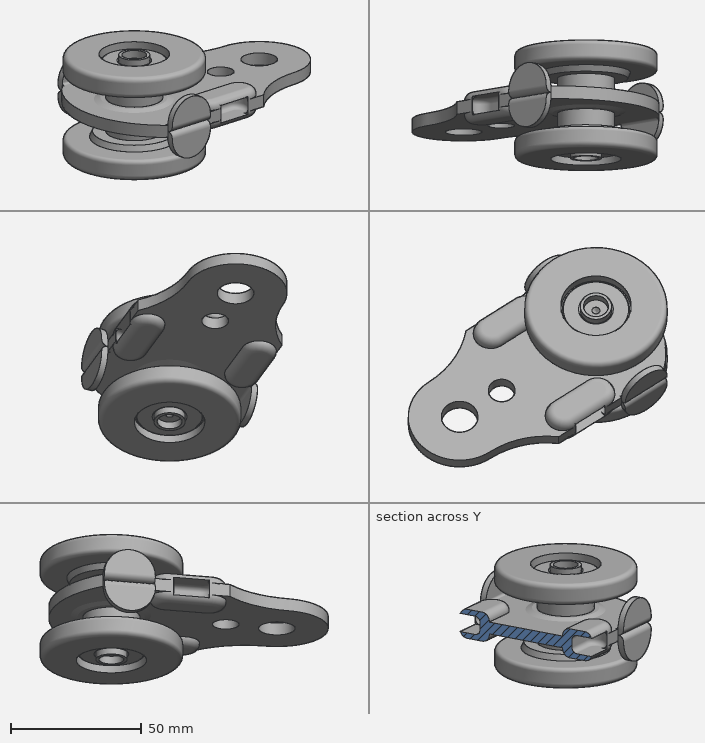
import cadquery as cq
import math


SHEET = 2.5
PLATE_HALF_WIDTH = 30.0
LUG_RADIUS = 19.8
LUG_Y = 65.1
SHOULDER_Y = 40.0
SIDE_END_Y = -10.0
PLATE_END_Y = -23.7
LARGE_HOLE_DIAMETER = 14.0
SMALL_HOLE_DIAMETER = 10.2
SMALL_HOLE_Y = 45.0

EAR_OUTER_X = 65.0 / 2
EAR_RADIUS = -SIDE_END_Y
EAR_INNER_FILLET = 1.0

RIB_WIDTH = 13.5
RIB_STRAIGHT = 16.5
RIB_Y = 24.8
RIB_HALF_HEIGHT = 6.0
RIB_FILLET = 3.4
RIB_X = PLATE_HALF_WIDTH - RIB_WIDTH / 2
WINDOW_LENGTH = 14.0
WINDOW_HEIGHT = 7.2
CAVITY_RADIUS = 4.5
CAVITY_STRAIGHT = 11.6
CAVITY_FILLET = 2.0

BOSS_BASE_RADIUS = 15.4
BOSS_TOP_RADIUS = 12.9
BOSS_HEIGHT = 0.8
SPACER_DIAMETER = 22.0
AXLE_DIAMETER = 12.0
AXLE_END_Z = 20.7
AXLE_RECESS_DIAMETER = 9.5
AXLE_RECESS_DEPTH = 3.1
CENTRE_MARK_DIAMETER = 3.0

WHEEL_RADIUS = 27.4
WHEEL_OUTER_Z = 42.0 / 2
WHEEL_INNER_Z = 12.8
WHEEL_OUTER_FILLET = 2.0
WHEEL_INNER_FILLET = 1.7
COLLAR_BASE_RADIUS = 17.2
COLLAR_END_RADIUS = 16.0
COLLAR_END_Z = 10.4
WHEEL_RECESS_DIAMETER = 27.0
WHEEL_RECESS_FLOOR_DIAMETER = 25.0
WHEEL_RECESS_DEPTH = 2.6
GROOVE_WIDTH = 0.6
GROOVE_DEPTH = 1.0
BORE_CHAMFER = 0.7

QUARTER = math.sqrt(0.5)


def mirrored_z(shape):
    return shape.mirror("XY")


def mirrored_x(shape):
    return shape.mirror("YZ")


def plate():
    """Flat plate with a round lug, concave flanks and a shallow curved lower end."""
    rise = LUG_Y - SHOULDER_Y
    run = PLATE_HALF_WIDTH - LUG_RADIUS
    flank_radius = (run**2 + rise**2) / (2 * run)
    half_angle = math.asin(rise / flank_radius) / 2
    flank_x = LUG_RADIUS + flank_radius * (1 - math.cos(half_angle))
    flank_y = LUG_Y - flank_radius * math.sin(half_angle)
    outline = (
        cq.Workplane("XY")
        .workplane(offset=-SHEET)
        .moveTo(PLATE_HALF_WIDTH, SIDE_END_Y)
        .lineTo(PLATE_HALF_WIDTH, SHOULDER_Y)
        .threePointArc((flank_x, flank_y), (LUG_RADIUS, LUG_Y))
        .threePointArc((0, LUG_Y + LUG_RADIUS), (-LUG_RADIUS, LUG_Y))
        .threePointArc((-flank_x, flank_y), (-PLATE_HALF_WIDTH, SHOULDER_Y))
        .lineTo(-PLATE_HALF_WIDTH, SIDE_END_Y)
        .threePointArc((0, PLATE_END_Y), (PLATE_HALF_WIDTH, SIDE_END_Y))
        .close()
    )
    return outline.extrude(2 * SHEET)


def suspension_hole(diameter, y):
    return cq.Workplane("XY").center(0, y).cylinder(2 * SHEET, diameter / 2)


def ear():
    """Upright ear on the +X side: rounded outline, V-shaped groove of two convex bends."""
    blank = (
        cq.Workplane("YZ")
        .workplane(offset=PLATE_HALF_WIDTH)
        .moveTo(-EAR_RADIUS, -SHEET)
        .lineTo(-EAR_RADIUS, SHEET)
        .threePointArc((0, SHEET + EAR_RADIUS), (EAR_RADIUS, SHEET))
        .lineTo(EAR_RADIUS, -SHEET)
        .threePointArc((0, -SHEET - EAR_RADIUS), (-EAR_RADIUS, -SHEET))
        .close()
        .extrude(EAR_OUTER_X - PLATE_HALF_WIDTH)
    )
    bend_radius = EAR_OUTER_X - PLATE_HALF_WIDTH
    bend_mid_x = PLATE_HALF_WIDTH + bend_radius * QUARTER
    bend_mid_z = bend_radius * (1 - QUARTER)
    groove = (
        cq.Workplane("XZ")
        .moveTo(PLATE_HALF_WIDTH, 0)
        .threePointArc((bend_mid_x, bend_mid_z), (EAR_OUTER_X, bend_radius))
        .lineTo(EAR_OUTER_X, -bend_radius)
        .threePointArc((bend_mid_x, -bend_mid_z), (PLATE_HALF_WIDTH, 0))
        .close()
        .extrude(EAR_RADIUS, both=True)
    )
    return blank.cut(groove)


def ear_inner_fillet():
    """Concave fillet between the plate's upper face and the ear on the +X side."""
    reach = EAR_INNER_FILLET * (1 - QUARTER)
    return (
        cq.Workplane("XZ")
        .moveTo(PLATE_HALF_WIDTH, SHEET)
        .lineTo(PLATE_HALF_WIDTH, SHEET + EAR_INNER_FILLET)
        .threePointArc(
            (PLATE_HALF_WIDTH - reach, SHEET + reach),
            (PLATE_HALF_WIDTH - EAR_INNER_FILLET, SHEET),
        )
        .close()
        .extrude(EAR_RADIUS, both=True)
    )


def rib():
    """Rounded rib on the +X side, standing proud of both plate faces."""
    return (
        cq.Workplane("XY")
        .workplane(offset=-RIB_HALF_HEIGHT)
        .center(RIB_X, RIB_Y)
        .slot2D(RIB_STRAIGHT + RIB_WIDTH, RIB_WIDTH, 90)
        .extrude(2 * RIB_HALF_HEIGHT)
        .faces("|Z")
        .edges()
        .fillet(RIB_FILLET)
    )


def rib_cavity():
    """Rounded slot inside the rib, opened to the +X edge by a rectangular window."""
    centre_x = PLATE_HALF_WIDTH - CAVITY_RADIUS
    slot = (
        cq.Workplane("XY")
        .workplane(offset=-WINDOW_HEIGHT / 2)
        .center(centre_x, RIB_Y)
        .slot2D(CAVITY_STRAIGHT + 2 * CAVITY_RADIUS, 2 * CAVITY_RADIUS, 90)
        .extrude(WINDOW_HEIGHT)
        .faces("|Z")
        .edges()
        .fillet(CAVITY_FILLET)
    )
    window = (
        cq.Workplane("XY")
        .box(CAVITY_RADIUS, WINDOW_LENGTH, WINDOW_HEIGHT)
        .translate((centre_x + CAVITY_RADIUS / 2, RIB_Y, 0))
    )
    return slot.union(window)


def axle_half():
    """Upper half of the axle: conical boss, spacer and journal with a recessed end."""
    boss_top_z = SHEET + BOSS_HEIGHT
    recess_z = AXLE_END_Z - AXLE_RECESS_DEPTH
    recess_radius = AXLE_RECESS_DIAMETER / 2
    mark_radius = CENTRE_MARK_DIAMETER / 2
    return (
        cq.Workplane("XZ")
        .polyline([
            (0, 0),
            (BOSS_BASE_RADIUS, 0),
            (BOSS_BASE_RADIUS, SHEET),
            (BOSS_TOP_RADIUS, boss_top_z),
            (SPACER_DIAMETER / 2, boss_top_z),
            (SPACER_DIAMETER / 2, COLLAR_END_Z),
            (AXLE_DIAMETER / 2, COLLAR_END_Z),
            (AXLE_DIAMETER / 2, AXLE_END_Z),
            (recess_radius, AXLE_END_Z),
            (recess_radius, recess_z),
            (mark_radius, recess_z),
            (0, recess_z - mark_radius),
        ])
        .close()
        .revolve(360, (0, 0, 0), (0, 1, 0))
    )


def make_bracket():
    upper_fillet = ear_inner_fillet()
    side_parts = [ear(), upper_fillet, mirrored_z(upper_fillet), rib()]
    body = plate()
    for part in side_parts:
        body = body.union(part).union(mirrored_x(part))
    cavity = rib_cavity()
    body = body.cut(cavity).cut(mirrored_x(cavity))
    body = body.cut(suspension_hole(LARGE_HOLE_DIAMETER, LUG_Y))
    body = body.cut(suspension_hole(SMALL_HOLE_DIAMETER, SMALL_HOLE_Y))
    half = axle_half()
    return body.union(half).union(mirrored_z(half))


def make_wheel():
    """Upper wheel: rounded rim, tapered collar, recessed outer face and chamfered bore."""
    floor_z = WHEEL_OUTER_Z - WHEEL_RECESS_DEPTH
    bore_radius = AXLE_DIAMETER / 2
    recess_radius = WHEEL_RECESS_DIAMETER / 2
    rim = (
        cq.Workplane("XY")
        .workplane(offset=WHEEL_INNER_Z)
        .circle(WHEEL_RADIUS)
        .extrude(WHEEL_OUTER_Z - WHEEL_INNER_Z)
        .edges(">Z")
        .fillet(WHEEL_OUTER_FILLET)
        .edges("<Z")
        .fillet(WHEEL_INNER_FILLET)
    )
    collar = (
        cq.Workplane("XZ")
        .polyline([
            (0, COLLAR_END_Z),
            (COLLAR_END_RADIUS, COLLAR_END_Z),
            (COLLAR_BASE_RADIUS, WHEEL_INNER_Z),
            (0, WHEEL_INNER_Z),
        ])
        .close()
        .revolve(360, (0, 0, 0), (0, 1, 0))
    )
    opening = (
        cq.Workplane("XZ")
        .polyline([
            (0, COLLAR_END_Z),
            (bore_radius, COLLAR_END_Z),
            (bore_radius, floor_z - BORE_CHAMFER),
            (bore_radius + BORE_CHAMFER, floor_z),
            (WHEEL_RECESS_FLOOR_DIAMETER / 2, floor_z),
            (recess_radius - GROOVE_WIDTH, floor_z - GROOVE_DEPTH),
            (recess_radius, floor_z - GROOVE_DEPTH),
            (recess_radius, WHEEL_OUTER_Z),
            (0, WHEEL_OUTER_Z),
        ])
        .close()
        .revolve(360, (0, 0, 0), (0, 1, 0))
    )
    return rim.union(collar).cut(opening)


bracket = make_bracket()
upper_wheel = make_wheel()
wheels = [upper_wheel, mirrored_z(upper_wheel)]

result = cq.Compound.makeCompound([bracket.val(), *[wheel.val() for wheel in wheels]])